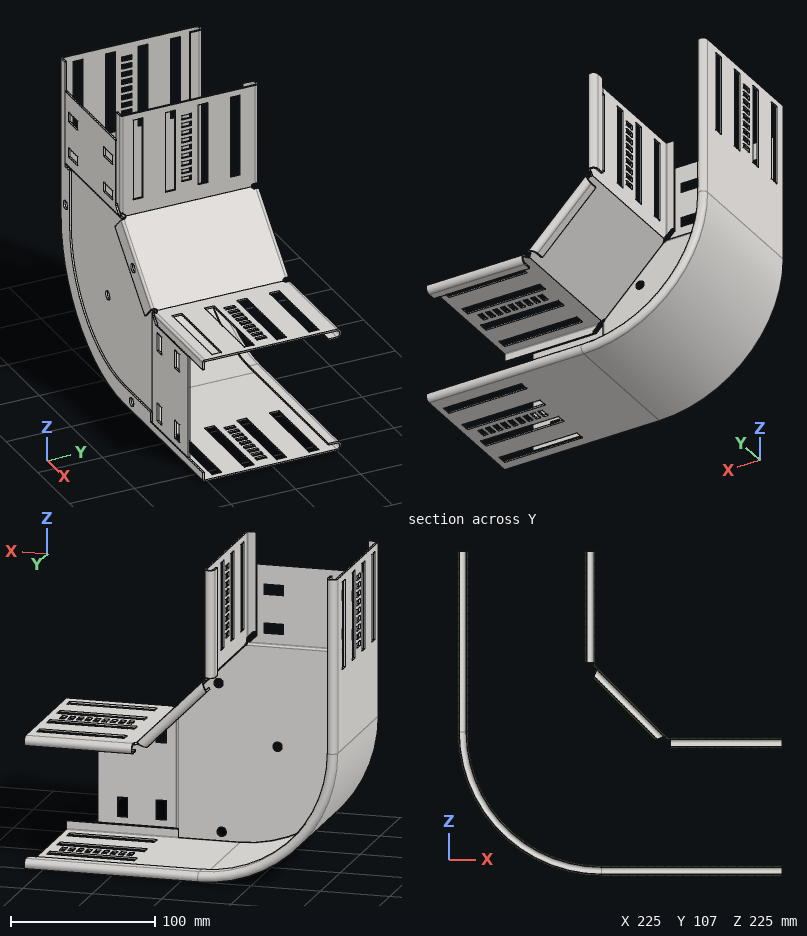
import cadquery as cq
import math


length = 225.0
depth = 107.0
sheet = 1.4
bend_radius = 1.8
curl_width = 7.5
curl_depth = 10.1
lip_width = curl_width
flange_width = 15.0

elbow_radius = 100.0
inner_face = 95.8
corner = 145.8
corner_gap = 1.8
relief_radius = 1.4
front_relief_center = 2.5
rear_relief_center = depth - 5.0
lip_end = 153.5
lip_miter = 243.7

flange_end = 142.9
joggle_start = 143.8
tab_end = 202.3
tab_side_gap = 0.7
tab_miter = 238.7
tab_root = 92.7

hole_diameter = 6.5
hole_inset = 8.3
flange_hole_height = 112.7
center_hole = 72.5

slot_length = 62.8
slot_width = 7.5
slot_pitch = 25.0
slot_count = 4
slot_center_z = 188.5
slot_center_y = 50.8
vent_length = 7.6
vent_width = 3.4
vent_pitch = 6.0
vent_count = 9

tab_slot_length = 14.0
tab_slot_width = 7.2
tab_slot_pitch_x = 55.4
tab_slot_pitch_z = 28.0
tab_slot_center_z = 170.5

curl_radius = curl_width / 2
diagonal_sum = inner_face + corner
diagonal_length = math.sqrt(2) * (corner - inner_face)
tab_left = lip_width + tab_side_gap
tab_right = inner_face - lip_width - tab_side_gap
joggle_angle = math.acos(1 - sheet / (2 * bend_radius - sheet))
joggle_end = joggle_start + (2 * bend_radius - sheet) * math.sin(joggle_angle)
half_corner_turn = math.radians(45) / 2
across_diagonal = cq.Vector(1, 0, -1)


def with_mirror(shape):
    """Add the mirror image across the plane X = Z."""
    return shape.union(shape.mirror(across_diagonal))


def front_outline(points, y_front, thickness):
    """Plate with an outline of (X, Z) points whose front face lies at Y = y_front."""
    plane = cq.Workplane("XZ", origin=(0, y_front, 0))
    return plane.polyline(points).close().extrude(-thickness)


def side_section(plane, flange):
    """Section of a side: local x runs inward from the wall's outer face, local y is Y."""
    inner_bend = bend_radius - sheet
    curl_center_y = depth - curl_radius
    edge_y = depth - curl_depth
    outer_middle = bend_radius * (1 - math.sqrt(0.5))
    inner_middle = bend_radius - inner_bend * math.sqrt(0.5)
    return (
        cq.Workplane(plane)
        .moveTo(flange, 0)
        .lineTo(bend_radius, 0)
        .threePointArc((outer_middle, outer_middle), (0, bend_radius))
        .lineTo(0, curl_center_y)
        .threePointArc((curl_radius, depth), (curl_width, curl_center_y))
        .lineTo(curl_width, edge_y)
        .lineTo(curl_width - sheet, edge_y)
        .lineTo(curl_width - sheet, curl_center_y)
        .threePointArc((curl_radius, depth - sheet), (sheet, curl_center_y))
        .lineTo(sheet, bend_radius)
        .threePointArc((inner_middle, inner_middle), (bend_radius, sheet))
        .lineTo(flange, sheet)
        .close()
    )


def left_wall(z_start, z_end, flange):
    """Straight stretch of the outer side's upright wall."""
    plane = cq.Plane(origin=(0, 0, z_start), xDir=(1, 0, 0), normal=(0, 0, 1))
    return side_section(plane, flange).extrude(z_end - z_start)


def front_hole(x, z):
    """Cutter for a round hole through the front flanges and the base plate."""
    return cq.Workplane("XZ").center(x, z).circle(hole_diameter / 2).extrude(-2 * sheet)


def fixing_holes():
    """The holes that the sides share with the base plate."""
    flap_hole = (diagonal_sum / math.sqrt(2) - hole_inset) / math.sqrt(2)
    return with_mirror(front_hole(hole_inset, flange_hole_height)).union(front_hole(flap_hole, flap_hole))


def wall_slots():
    """Long slots and the row of short slots through the walls of both arms."""
    long_slots = (
        cq.Workplane("YZ")
        .center(slot_center_y, slot_center_z)
        .rarray(slot_pitch, 2.2, slot_count, 1)
        .rect(slot_width, slot_length)
        .extrude(inner_face)
    )
    short_slots = (
        cq.Workplane("YZ")
        .center(slot_center_y, slot_center_z)
        .rarray(2.2, vent_pitch, 1, vent_count)
        .rect(vent_length, vent_width)
        .extrude(inner_face)
    )
    return with_mirror(long_slots.union(short_slots))


def make_outer_side():
    """Curved outer wall with its front flange and rear curl."""
    arm = left_wall(elbow_radius, flange_end, flange_width).union(left_wall(flange_end, length, lip_width))
    elbow_plane = cq.Plane(origin=(0, 0, elbow_radius), xDir=(1, 0, 0), normal=(0, 0, 1))
    elbow = side_section(elbow_plane, flange_width).revolve(90, (elbow_radius, 0), (elbow_radius, -1))
    return elbow.union(with_mirror(arm)).cut(fixing_holes()).cut(wall_slots())


def inner_arm():
    """Upright arm of the inner side, its front lip mitred at the lower end."""
    plane = cq.Plane(origin=(inner_face, 0, length), xDir=(-1, 0, 0), normal=(0, 0, -1))
    arm_start = corner + corner_gap
    arm = side_section(plane, lip_width).extrude(length - arm_start)
    lip_edge = inner_face - lip_width
    miter = front_outline(
        [
            (lip_edge, arm_start),
            (lip_edge, lip_end),
            (lip_miter - lip_end, lip_end),
            (inner_face, lip_miter - inner_face),
            (inner_face, arm_start),
        ],
        0,
        bend_radius,
    )
    return arm.cut(miter)


def curl_end_cut():
    """Wedge that slants the end of the diagonal's curl at the upper corner."""
    end_x = inner_face + corner_gap / math.sqrt(2)
    end_z = corner - corner_gap / math.sqrt(2)
    inward = 2 * curl_width / math.sqrt(2)
    slant = inward * math.tan(half_corner_turn)
    return front_outline(
        [
            (end_x, end_z),
            (end_x - inward, end_z - inward),
            (end_x - inward + slant, end_z - inward - slant),
        ],
        depth - curl_depth,
        curl_depth,
    )


def diagonal_wall():
    """Diagonal stretch of the inner side with its flap and curl."""
    plane = cq.Plane(origin=(inner_face, 0, corner), xDir=(-1, 0, -1), normal=(1, 0, -1))
    wall = (
        side_section(plane, flange_width)
        .extrude(diagonal_length - 2 * corner_gap)
        .translate(plane.zDir * corner_gap)
    )
    return wall.cut(with_mirror(curl_end_cut()))


def corner_web():
    """Flat wall that joins an arm to the diagonal, with a rounded relief at each end."""
    overlap = 2 * corner_gap
    inner_corner = diagonal_sum - math.sqrt(2) * sheet - (inner_face - sheet)
    along = overlap / math.sqrt(2)
    across = sheet / math.sqrt(2)
    web = front_outline(
        [
            (inner_face, corner + overlap),
            (inner_face, corner),
            (inner_face + along, corner - along),
            (inner_face + along - across, corner - along - across),
            (inner_face - sheet, inner_corner),
            (inner_face - sheet, corner + overlap),
        ],
        front_relief_center,
        rear_relief_center - front_relief_center,
    )
    bisector = cq.Vector(-math.cos(half_corner_turn), 0, -math.sin(half_corner_turn))
    for relief_y in (front_relief_center, rear_relief_center):
        relief = cq.Solid.makeCylinder(
            relief_radius,
            4 * sheet,
            cq.Vector(inner_face, relief_y, corner) - bisector * (2 * sheet),
            bisector,
        )
        web = web.cut(cq.Workplane(relief))
    return web


def make_inner_side():
    """Inner wall: two arms joined by a diagonal with a flap on the base plate."""
    half = inner_arm().union(corner_web())
    return diagonal_wall().union(with_mirror(half)).cut(fixing_holes()).cut(wall_slots())


def base_panel():
    """Flat part of the base plate, behind the front flanges."""
    diagonal_edge = diagonal_sum - math.sqrt(2) * bend_radius
    arc_middle = elbow_radius - (elbow_radius - bend_radius) * math.sqrt(0.5)
    return (
        cq.Workplane("XZ", origin=(0, sheet, 0))
        .moveTo(bend_radius, joggle_start)
        .lineTo(bend_radius, elbow_radius)
        .threePointArc((arc_middle, arc_middle), (elbow_radius, bend_radius))
        .lineTo(joggle_start, bend_radius)
        .lineTo(joggle_start, diagonal_edge - joggle_start)
        .lineTo(diagonal_edge - joggle_start, joggle_start)
        .close()
        .extrude(-sheet)
    )


def joggle_section():
    """S-bend in local (Y, Z): up from the panel and forward to the tab, tangent to both."""
    inner_bend = bend_radius - sheet
    panel_bend_center = (sheet - inner_bend, joggle_start)
    tab_bend_center = (bend_radius, joggle_end)

    def near_panel(radius, angle):
        y, z = panel_bend_center
        return (y + radius * math.cos(angle), z + radius * math.sin(angle))

    def near_tab(radius, angle):
        y, z = tab_bend_center
        return (y - radius * math.cos(angle), z - radius * math.sin(angle))

    half_angle = joggle_angle / 2
    return (
        cq.Workplane("YZ")
        .moveTo(*near_panel(inner_bend, 0))
        .threePointArc(near_panel(inner_bend, half_angle), near_panel(inner_bend, joggle_angle))
        .threePointArc(near_tab(bend_radius, half_angle), near_tab(bend_radius, 0))
        .lineTo(*near_tab(inner_bend, 0))
        .threePointArc(near_tab(inner_bend, half_angle), near_tab(inner_bend, joggle_angle))
        .threePointArc(near_panel(bend_radius, half_angle), near_panel(bend_radius, 0))
        .close()
    )


def base_tab():
    """Upper connecting tab: a joggle, then a slotted plate flush with the lips beside it."""
    joggle = (
        joggle_section()
        .extrude(inner_face - sheet - tab_left)
        .translate((tab_left, 0, 0))
    )
    tab = front_outline(
        [
            (tab_left, joggle_end),
            (tab_left, tab_end),
            (tab_right, tab_end),
            (tab_right, tab_miter - tab_right),
            (tab_root, tab_miter - tab_root),
            (tab_root, joggle_end),
        ],
        0,
        sheet,
    )
    slots = (
        cq.Workplane("XZ")
        .center((tab_left + tab_right) / 2, tab_slot_center_z)
        .rarray(tab_slot_pitch_x, tab_slot_pitch_z, 2, 2)
        .rect(tab_slot_length, tab_slot_width)
        .extrude(-sheet)
    )
    return joggle.union(tab.cut(slots))


def make_base_plate():
    """Base plate with its two connecting tabs and its holes."""
    plate = base_panel().union(with_mirror(base_tab()))
    return plate.cut(fixing_holes()).cut(front_hole(center_hole, center_hole))


outer_side = make_outer_side().solids()
inner_side = make_inner_side().solids()
base_plate = make_base_plate().solids()

result = cq.Compound.makeCompound([outer_side.val(), inner_side.val(), base_plate.val()])